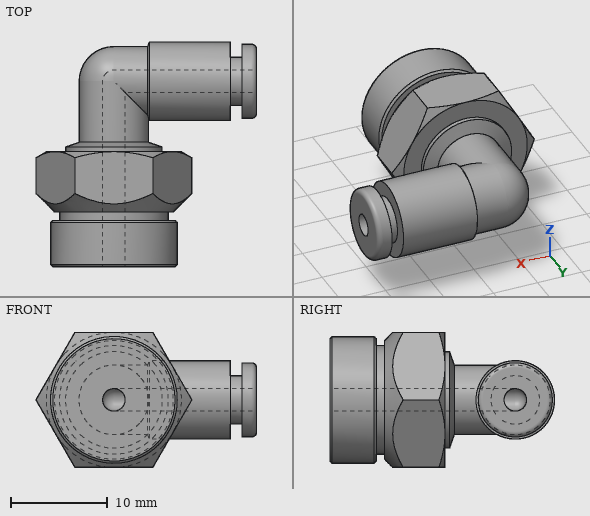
import cadquery as cq
import math

PLUG_RADIUS = 6.57
PLUG_LENGTH = 4.82
PLUG_CHAMFER = 0.23
GROOVE_RADIUS = 5.65
HEX_ACROSS_FLATS = 14.0
HEX_START = 5.66
HEX_END = 11.93
HEX_LOWER_FACE_RADIUS = 6.15
HEX_LOWER_ANGLE = 45
HEX_UPPER_ANGLE = 30
HEX_SIDES = 6
TRIM_CLEARANCE = 0.23
COLLAR_RADIUS = 5.0
COLLAR_RIM_END = 12.42
COLLAR_END = 12.9
TUBE_RADIUS = 3.6
BORE_RADIUS = 1.16

SLEEVE_RADIUS = 4.08
SLEEVE_BEVEL_DEPTH = SLEEVE_RADIUS - TUBE_RADIUS
SLEEVE_START = 3.5
SLEEVE_END = 12.07
SLEEVE_BEVEL_LENGTH = 0.19
NECK_RADIUS = 2.52
RING_RADIUS = 3.85
RING_START = 13.25
RING_FILLET = 0.51

TOTAL_HEIGHT = 23.3
TOTAL_WIDTH = 22.88
OUTLET_Y = TOTAL_HEIGHT - SLEEVE_RADIUS
HEX_CORNER_RADIUS = HEX_ACROSS_FLATS / 2 / math.cos(math.pi / HEX_SIDES)
OUTLET_END = TOTAL_WIDTH - HEX_CORNER_RADIUS


def y_cylinder(radius, start, end):
    """Cylinder on the body axis between two Y positions."""
    plane = cq.Plane(origin=(0, start, 0), xDir=(1, 0, 0), normal=(0, 1, 0))
    return cq.Workplane(plane).circle(radius).extrude(end - start)


def x_cylinder(radius, start, end):
    """Cylinder on the outlet axis between two X positions."""
    return cq.Workplane("YZ", origin=(start, OUTLET_Y, 0)).circle(radius).extrude(end - start)


def elbow(radius, body_start, outlet_end):
    """Right-angle round elbow with a spherical outer corner."""
    corner = cq.Workplane("XZ").sphere(radius).translate((0, OUTLET_Y, 0))
    upright = y_cylinder(radius, body_start, OUTLET_Y)
    return upright.union(x_cylinder(radius, 0, outlet_end)).union(corner)


def make_hex():
    """Hexagonal nut, corners on X, trimmed by a cone at each end."""
    plane = cq.Plane(origin=(0, HEX_START, 0), xDir=(1, 0, 0), normal=(0, 1, 0))
    prism = cq.Workplane(plane).polygon(HEX_SIDES, 2 * HEX_CORNER_RADIUS).extrude(HEX_END - HEX_START)
    trim_radius = HEX_CORNER_RADIUS + TRIM_CLEARANCE
    upper_face_radius = HEX_ACROSS_FLATS / 2
    lower_rise = (trim_radius - HEX_LOWER_FACE_RADIUS) * math.tan(math.radians(HEX_LOWER_ANGLE))
    upper_drop = (trim_radius - upper_face_radius) * math.tan(math.radians(HEX_UPPER_ANGLE))
    trim = (
        cq.Workplane("XY")
        .polyline([
            (0, HEX_START),
            (HEX_LOWER_FACE_RADIUS, HEX_START),
            (trim_radius, HEX_START + lower_rise),
            (trim_radius, HEX_END - upper_drop),
            (upper_face_radius, HEX_END),
            (0, HEX_END),
        ])
        .close()
        .revolve(360, (0, 0, 0), (0, 1, 0))
    )
    return prism.intersect(trim)


def make_collar():
    """Low round collar above the hex, tapering in to the tube."""
    return (
        cq.Workplane("XY")
        .polyline([
            (0, HEX_END),
            (COLLAR_RADIUS, HEX_END),
            (COLLAR_RADIUS, COLLAR_RIM_END),
            (TUBE_RADIUS, COLLAR_END),
            (0, COLLAR_END),
        ])
        .close()
        .revolve(360, (0, 0, 0), (0, 1, 0))
    )


def make_outlet():
    """Sleeve, neck and release ring on the outlet axis."""
    sleeve = x_cylinder(SLEEVE_RADIUS, SLEEVE_START, SLEEVE_END)
    sleeve = sleeve.faces("<X").chamfer(SLEEVE_BEVEL_LENGTH, SLEEVE_BEVEL_DEPTH)
    neck = x_cylinder(NECK_RADIUS, SLEEVE_END, RING_START)
    ring = x_cylinder(RING_RADIUS, RING_START, OUTLET_END).faces(">X").edges().fillet(RING_FILLET)
    return sleeve.union(neck).union(ring)


plug = y_cylinder(PLUG_RADIUS, 0, PLUG_LENGTH).edges("%CIRCLE").chamfer(PLUG_CHAMFER)
groove = y_cylinder(GROOVE_RADIUS, PLUG_LENGTH, HEX_START)

result = (
    elbow(TUBE_RADIUS, HEX_END, SLEEVE_START)
    .union(make_collar())
    .union(make_hex())
    .union(groove)
    .union(plug)
    .union(make_outlet())
    .cut(elbow(BORE_RADIUS, 0, OUTLET_END))
)